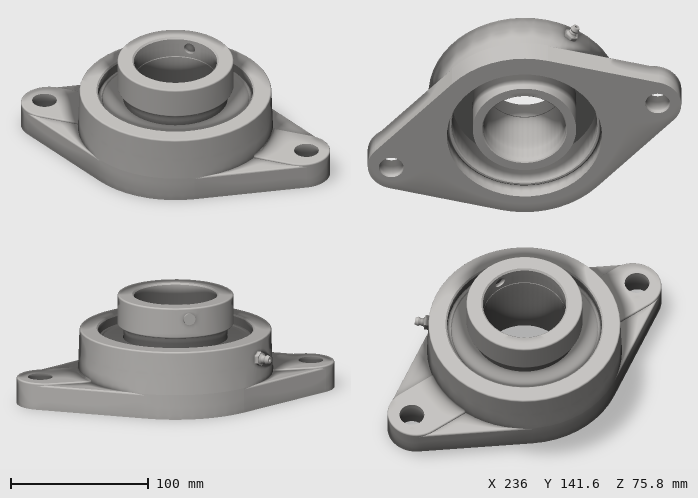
import cadquery as cq
import math

length = 236.0
boss_base_radius = 70.8
boss_top_radius = 69.6
boss_top_z = 50.3
ear_radius = 20.8
ear_x = length / 2 - ear_radius
tangent_cos = (boss_base_radius - ear_radius) / ear_x
tangent_sin = math.sqrt(1 - tangent_cos**2)
web_top_z = 18.5
strip_top_z = 19.8
edge_round = 1.2
bolt_hole_diameter = 18.0
bolt_x = 101.0
seat_diameter = 112.5
seat_chamfer = 1.06
tolerance = 0.12

outer_ring_bottom_z = 11.8
outer_ring_top_z = 43.7
outer_ring_chamfer = 1.2
ring_bore_chamfer = 0.7
seal_outer_radius = 52.9
seal_inner_radius = 38.11
seal_rim_radius = 50.0
seal_rim_z = 43.0
seal_inner_z = 43.7
seal_bottom_z = 40.1
inner_ring_bottom_z = 7.0
inner_ring_diameter = 75.0
shoulder_z = 46.5
nose_diameter = 72.0
nose_top_z = 60.2
bore_diameter = 60.5
bore_chamfer = 0.7

collar_diameter = 84.3
collar_bottom_z = 53.0
skirt_diameter = 75.5
collar_top_z = 75.8
collar_round = 1.2
collar_bore_chamfer = 1.2
screw_diameter = 8.5
screw_z = 67.7
screw_inner_y = 33.0
screw_outer_y = 44.0

nipple_angle = 135.0
nipple_z = 37.0
nipple_root = 63.7
nut_start = 68.5
nut_end = 73.2
shoulder_end = 74.3
neck_end = 75.3
waist = 76.2
ridge = 77.9
nipple_tip = 80.2
nut_across_corners = 10.6
shoulder_diameter = 8.0
neck_diameter = 6.0
waist_diameter = 5.0
ridge_diameter = 6.8
tip_diameter = 5.2
grease_hole_diameter = 2.27

smallest_circle = cq.selectors.RadiusNthSelector(0)


def cylinder(diameter, bottom_z, top_z):
    """Upright cylinder on the Z axis."""
    return cq.Workplane("XY").workplane(offset=bottom_z).circle(diameter / 2).extrude(top_z - bottom_z)


def flange_outline():
    """Closed outline: middle circle and two ear circles joined by their common tangents."""
    boss_x = boss_base_radius * tangent_cos
    boss_y = boss_base_radius * tangent_sin
    end_x = ear_x + ear_radius * tangent_cos
    end_y = ear_radius * tangent_sin
    return (
        cq.Workplane("XY")
        .moveTo(-boss_x, boss_y)
        .threePointArc((0, boss_base_radius), (boss_x, boss_y))
        .lineTo(end_x, end_y)
        .threePointArc((length / 2, 0), (end_x, -end_y))
        .lineTo(boss_x, -boss_y)
        .threePointArc((0, -boss_base_radius), (-boss_x, -boss_y))
        .lineTo(-end_x, -end_y)
        .threePointArc((-length / 2, 0), (-end_x, end_y))
        .close()
    )


def make_edge_cutters():
    """Four bars that round the top edge along the straight sides of the flange."""
    inner = boss_base_radius - edge_round
    low = web_top_z - edge_round
    arc_step = edge_round * math.sqrt(0.5)
    bar = (
        cq.Workplane("YZ")
        .moveTo(boss_base_radius, web_top_z)
        .lineTo(inner, web_top_z)
        .threePointArc((inner + arc_step, low + arc_step), (boss_base_radius, low))
        .close()
        .extrude(ear_x * tangent_sin)
    )
    side_angle = math.degrees(math.asin(tangent_cos))
    bar = bar.rotate((0, 0, 0), (0, 0, 1), -side_angle)
    half = [bar, bar.mirror("YZ")]
    return half + [side.mirror("XZ") for side in half]


def make_boss():
    """Slightly tapered boss over a straight foot, with a rounded top edge."""
    profile = (
        cq.Workplane("XZ")
        .lineTo(boss_base_radius, 0)
        .lineTo(boss_base_radius, web_top_z)
        .lineTo(boss_top_radius, boss_top_z)
        .lineTo(0, boss_top_z)
        .close()
    )
    return profile.revolve(360, (0, 0), (0, 1)).faces(">Z").edges().fillet(edge_round)


def make_casting():
    """Flange, raised ear strips and boss, with the strip edges and the boss foot rounded."""
    casting = flange_outline().extrude(web_top_z)
    for cutter in make_edge_cutters():
        casting = casting.cut(cutter)
    strip = cq.Workplane("XY").slot2D(length, 2 * ear_radius).extrude(strip_top_z)
    casting = casting.union(strip).union(make_boss())
    strip_top = cq.selectors.BoxSelector(
        (-length, -length, strip_top_z - tolerance), (length, length, strip_top_z + tolerance)
    )
    return casting.edges(strip_top).fillet(edge_round)


def aim_nipple(shape):
    """Turn a shape built along +X into the direction and height of the grease nipple."""
    return shape.rotate((0, 0, 0), (0, 0, 1), nipple_angle).translate((0, 0, nipple_z))


def make_nipple_blank():
    """Solid grease nipple: stem, hexagon nut, conical shoulder, neck and ridged head."""
    nut = cq.Workplane("YZ").workplane(offset=nut_start).polygon(6, nut_across_corners)
    nut = nut.extrude(nut_end - nut_start).rotate((0, 0, 0), (1, 0, 0), 90)
    stem_and_head = (
        cq.Workplane("XY")
        .moveTo(nipple_root, 0)
        .lineTo(nipple_root, neck_diameter / 2)
        .lineTo(nut_end, neck_diameter / 2)
        .lineTo(nut_end, shoulder_diameter / 2)
        .lineTo(shoulder_end, neck_diameter / 2)
        .lineTo(neck_end, neck_diameter / 2)
        .lineTo(waist, waist_diameter / 2)
        .lineTo(ridge, ridge_diameter / 2)
        .lineTo(nipple_tip, tip_diameter / 2)
        .lineTo(nipple_tip, 0)
        .close()
        .revolve(360, (0, 0), (1, 0))
    )
    return aim_nipple(nut.union(stem_and_head))


def make_grease_hole():
    hole = cq.Workplane("YZ").workplane(offset=nipple_root)
    hole = hole.circle(grease_hole_diameter / 2).extrude(nipple_tip - nipple_root)
    return aim_nipple(hole)


def make_housing():
    body = make_casting()
    body = body.cut(cylinder(seat_diameter, 0, boss_top_z))
    body = body.faces(">Z").edges(smallest_circle).chamfer(seat_chamfer)
    bolt_holes = (
        cq.Workplane("XY")
        .pushPoints([(-bolt_x, 0), (bolt_x, 0)])
        .circle(bolt_hole_diameter / 2)
        .extrude(strip_top_z)
    )
    return body.cut(bolt_holes).cut(make_nipple_blank())


def make_outer_ring():
    ring = cylinder(seat_diameter, outer_ring_bottom_z, outer_ring_top_z).edges().chamfer(outer_ring_chamfer)
    ring = ring.cut(cylinder(2 * seal_outer_radius, outer_ring_bottom_z, outer_ring_top_z))
    return ring.edges(smallest_circle).chamfer(ring_bore_chamfer)


def make_seal():
    """Thin dished ring that closes the gap between the two bearing rings."""
    profile = cq.Workplane("XZ").polyline(
        [
            (seal_inner_radius, seal_bottom_z),
            (seal_outer_radius, seal_bottom_z),
            (seal_outer_radius, seal_rim_z),
            (seal_rim_radius, seal_rim_z),
            (seal_inner_radius, seal_inner_z),
        ]
    )
    return profile.close().revolve(360, (0, 0), (0, 1))


def make_inner_ring():
    ring = cylinder(inner_ring_diameter, inner_ring_bottom_z, shoulder_z)
    ring = ring.union(cylinder(nose_diameter, shoulder_z, nose_top_z))
    ring = ring.cut(cylinder(bore_diameter, inner_ring_bottom_z, nose_top_z))
    return ring.faces(">Z or <Z").edges(smallest_circle).chamfer(bore_chamfer)


def make_screw():
    screw = cq.Workplane("XZ", origin=(0, screw_inner_y, screw_z)).circle(screw_diameter / 2)
    return screw.extrude(screw_inner_y - screw_outer_y)


def make_collar():
    """Locking collar with a skirt below it, bored to grip the nose of the inner ring."""
    collar = cylinder(collar_diameter, collar_bottom_z, collar_top_z).edges().fillet(collar_round)
    collar = collar.union(cylinder(skirt_diameter, shoulder_z, collar_top_z - collar_round))
    collar = collar.cut(cylinder(nose_diameter, shoulder_z, nose_top_z))
    collar = collar.cut(cylinder(bore_diameter, nose_top_z, collar_top_z))
    collar = collar.faces(">Z").edges(smallest_circle).chamfer(collar_bore_chamfer)
    screw_hole = cq.Workplane("XZ", origin=(0, 0, screw_z)).circle(screw_diameter / 2)
    return collar.cut(screw_hole.extrude(-collar_diameter / 2))


housing = make_housing()
outer_ring = make_outer_ring()
inner_ring = make_inner_ring()
seal = make_seal()
collar = make_collar()
screw = make_screw()
nipple = make_nipple_blank().cut(make_grease_hole())

result = cq.Compound.makeCompound(
    [
        housing.val(),
        outer_ring.val(),
        inner_ring.val(),
        seal.val(),
        collar.val(),
        screw.val(),
        nipple.val(),
    ]
)